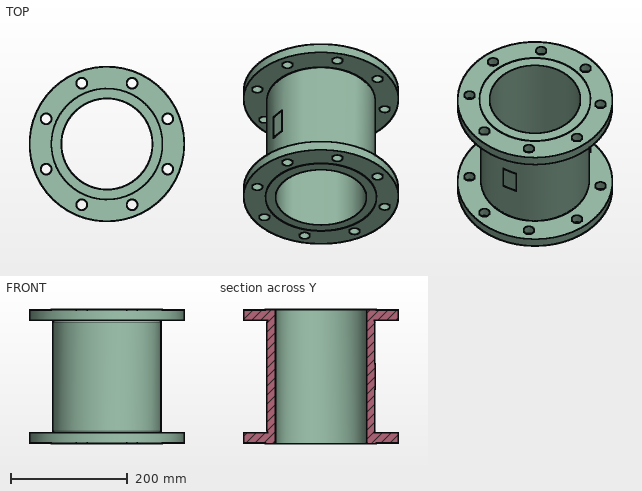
import cadquery as cq

length = 230.0
bore_diameter = 155.5

flange_diameter = 265.0
flange_thickness = 18.0
raised_face_diameter = 190.0
raised_face_height = 1.0

bolt_count = 8
bolt_circle_diameter = 225.0
bolt_hole_diameter = 18.0
bolt_start_angle = 360.0 / bolt_count / 2

body_diameter = 185.7
body_end_radius = 3.0

pad_width = 25.0
pad_height = 44.0
pad_rise = 0.3

flange_top = length / 2 - raised_face_height
flange_bottom = flange_top - flange_thickness


def disc(diameter, bottom, height):
    """Cylinder about the Z axis, starting at the given height."""
    return cq.Workplane("XY").workplane(offset=bottom).circle(diameter / 2).extrude(height)


def upper_flange():
    """Drilled flange with its raised sealing face on top."""
    plate = disc(flange_diameter, flange_bottom, flange_thickness)
    face = disc(raised_face_diameter, flange_top, raised_face_height)
    holes = (
        cq.Workplane("XY")
        .workplane(offset=flange_bottom)
        .polarArray(bolt_circle_diameter / 2, bolt_start_angle, 360, bolt_count)
        .circle(bolt_hole_diameter / 2)
        .extrude(flange_thickness)
    )
    return plate.union(face).cut(holes)


def barrel():
    """Solid body between the flanges with both end edges rounded."""
    body = disc(body_diameter, -flange_bottom, 2 * flange_bottom)
    return body.edges("%CIRCLE").fillet(body_end_radius)


def label_pad():
    """Block from inside the pipe wall out to the flat face of the pad."""
    mid_wall_radius = (bore_diameter + body_diameter) / 4
    outer_face = body_diameter / 2 + pad_rise
    return (
        cq.Workplane("YZ")
        .workplane(offset=mid_wall_radius)
        .rect(pad_width, pad_height)
        .extrude(outer_face - mid_wall_radius)
    )


flange = upper_flange()
bore = disc(bore_diameter, -length / 2, length)

result = barrel().union(label_pad()).union(flange).union(flange.mirror("XY")).cut(bore)